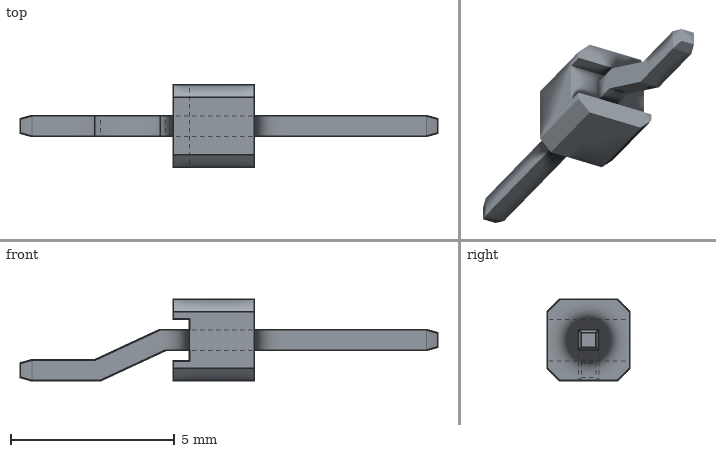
import cadquery as cq

PIN_LENGTH = 12.8
PIN_SIZE = 0.64
TIP_LENGTH = 0.36
TIP_SIZE = 0.44

HOUSING_LENGTH = 2.5
HOUSING_WIDTH = 2.53
HOUSING_HEIGHT = 2.5
HOUSING_CHAMFER = 0.38
HOUSING_START = -1.72
SLOT_DEPTH = 0.5
SLOT_HEIGHT = 1.28

PIN_AXIS_Z = 0.0
SLOPE_START_TOP = -4.11
SLOPE_END_TOP = -2.11
BEND_SHIFT = 0.17

half_length = PIN_LENGTH / 2
half_pin = PIN_SIZE / 2
foot_z = -HOUSING_HEIGHT / 2 + half_pin


def make_tip(base_x, base_z, direction):
    """Tapered square pin end, pointing along +X (1) or -X (-1)."""
    plane = cq.Plane(origin=(base_x, 0, base_z), xDir=(0, 1, 0), normal=(direction, 0, 0))
    return (
        cq.Workplane(plane)
        .rect(PIN_SIZE, PIN_SIZE)
        .workplane(offset=TIP_LENGTH)
        .rect(TIP_SIZE, TIP_SIZE)
        .loft(ruled=True)
    )


def make_pin():
    """Square pin with an offset bend and a tapered tip at each end."""
    foot_end = -half_length + TIP_LENGTH
    straight_end = half_length - TIP_LENGTH
    bent_bar = (
        cq.Workplane("XZ")
        .moveTo(foot_end, foot_z + half_pin)
        .lineTo(SLOPE_START_TOP, foot_z + half_pin)
        .lineTo(SLOPE_END_TOP, PIN_AXIS_Z + half_pin)
        .lineTo(straight_end, PIN_AXIS_Z + half_pin)
        .lineTo(straight_end, PIN_AXIS_Z - half_pin)
        .lineTo(SLOPE_END_TOP + BEND_SHIFT, PIN_AXIS_Z - half_pin)
        .lineTo(SLOPE_START_TOP + BEND_SHIFT, foot_z - half_pin)
        .lineTo(foot_end, foot_z - half_pin)
        .close()
        .extrude(half_pin, both=True)
    )
    foot_tip = make_tip(foot_end, foot_z, -1)
    straight_tip = make_tip(straight_end, PIN_AXIS_Z, 1)
    return bent_bar.union(foot_tip).union(straight_tip)


def make_housing():
    """Chamfered block with a slot across its -X end and a square hole for the pin."""
    block = (
        cq.Workplane("YZ", origin=(HOUSING_START, 0, 0))
        .rect(HOUSING_WIDTH, HOUSING_HEIGHT)
        .extrude(HOUSING_LENGTH)
        .edges("|X")
        .chamfer(HOUSING_CHAMFER)
    )
    slot = (
        cq.Workplane("YZ", origin=(HOUSING_START, 0, 0))
        .rect(HOUSING_WIDTH, SLOT_HEIGHT)
        .extrude(SLOT_DEPTH)
    )
    pin_hole = (
        cq.Workplane("YZ", origin=(HOUSING_START, 0, PIN_AXIS_Z))
        .rect(PIN_SIZE, PIN_SIZE)
        .extrude(HOUSING_LENGTH)
    )
    return block.cut(slot).cut(pin_hole)


housing = make_housing()
pin = make_pin()

result = cq.Compound.makeCompound([housing.val(), pin.val()])